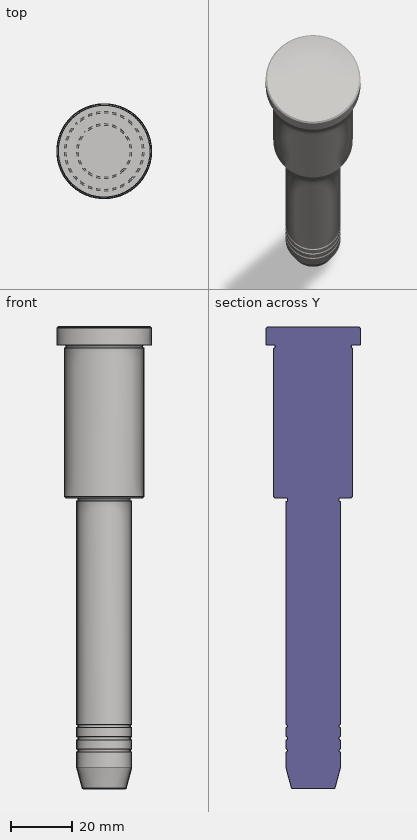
import cadquery as cq
import math

total_length = 151.0
head_diameter = 31.0
head_height = 6.0
sleeve_diameter = 26.0
sleeve_length = 50.0
pin_diameter = 18.0

head_chamfer = 0.5
sleeve_chamfer = 0.5
undercut_length = 1.0
undercut_depth = 0.5

tip_length = 7.0
tip_taper_angle = 15.0
tip_end_diameter = pin_diameter - 2 * tip_length * math.tan(math.radians(tip_taper_angle))
tip_fillet = 0.5

groove_radius = 0.5
pin_groove_count = 3
pin_groove_pitch = 4.0
first_pin_groove_height = 12.5

head_bottom = total_length - head_height
sleeve_bottom = head_bottom - sleeve_length
undercut_bottom = sleeve_bottom - undercut_length


def cylinder(diameter, bottom, top):
    return cq.Workplane("XY").workplane(offset=bottom).circle(diameter / 2).extrude(top - bottom)


def make_head():
    head = cylinder(head_diameter, head_bottom, total_length)
    return head.faces(">Z").chamfer(head_chamfer)


def make_sleeve():
    sleeve = cylinder(sleeve_diameter, sleeve_bottom, head_bottom)
    return sleeve.faces("<Z").chamfer(sleeve_chamfer)


def make_pin():
    pin = cylinder(pin_diameter, tip_length, undercut_bottom)
    undercut = cylinder(pin_diameter - 2 * undercut_depth, undercut_bottom, sleeve_bottom)
    return pin.union(undercut)


def make_tip():
    tip = (
        cq.Workplane("XY")
        .circle(tip_end_diameter / 2)
        .workplane(offset=tip_length)
        .circle(pin_diameter / 2)
        .loft()
    )
    return tip.faces("<Z").edges().fillet(tip_fillet)


def make_ring_cutter(surface_diameter, height):
    """Ring of round section, centred on a cylindrical surface at the given height."""
    surface_radius = surface_diameter / 2
    return (
        cq.Workplane("XZ")
        .center(surface_radius, height)
        .circle(groove_radius)
        .revolve(360, (-surface_radius, 0, 0), (-surface_radius, 1, 0))
    )


result = make_head().union(make_sleeve()).union(make_pin()).union(make_tip())

result = result.cut(make_ring_cutter(sleeve_diameter, head_bottom - groove_radius))
for index in range(pin_groove_count):
    groove_height = first_pin_groove_height + index * pin_groove_pitch
    result = result.cut(make_ring_cutter(pin_diameter, groove_height))